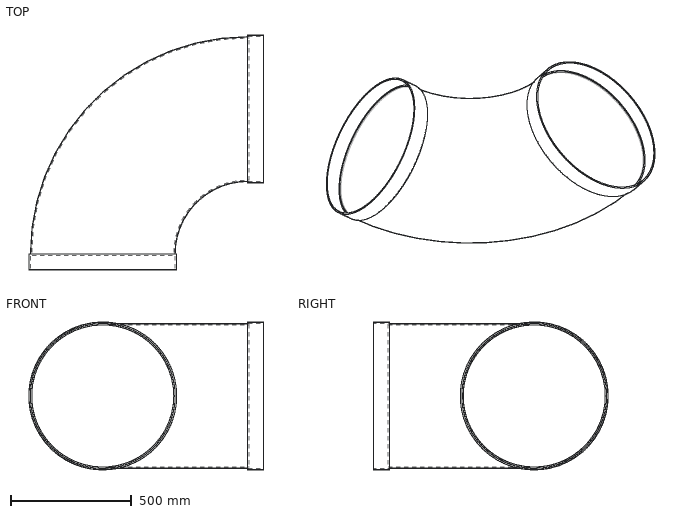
import cadquery as cq

overall_length = 972.0
collar_diameter = 612.0
duct_diameter = 600.0
duct_bore = 588.0
bend_radius = duct_diameter
seat_overlap = 6.0
bend_angle = 90.0

collar_length = overall_length - collar_diameter / 2 - bend_radius


def bend(diameter):
    """Solid quarter torus from the inlet at the origin to the outlet facing +X."""
    return (
        cq.Workplane("XZ")
        .circle(diameter / 2)
        .revolve(bend_angle, (bend_radius, 10, 0), (bend_radius, 0, 0))
    )


def cylinder(plane, diameter, length, start=0):
    """Cylinder along the outward normal of a bend end, beginning at start."""
    return cq.Workplane(plane).workplane(offset=start).circle(diameter / 2).extrude(length)


inlet_plane = cq.Plane(origin=(0, 0, 0), xDir=(1, 0, 0), normal=(0, -1, 0))
outlet_plane = cq.Plane(origin=(bend_radius, bend_radius, 0), xDir=(0, 1, 0), normal=(1, 0, 0))

outer = bend(duct_diameter)
inner = bend(duct_bore)
for end_plane in (inlet_plane, outlet_plane):
    outer = outer.union(cylinder(end_plane, collar_diameter, collar_length))
    inner = inner.union(cylinder(end_plane, duct_bore, seat_overlap))
    inner = inner.union(
        cylinder(end_plane, duct_diameter, collar_length - seat_overlap, seat_overlap)
    )

result = outer.cut(inner)